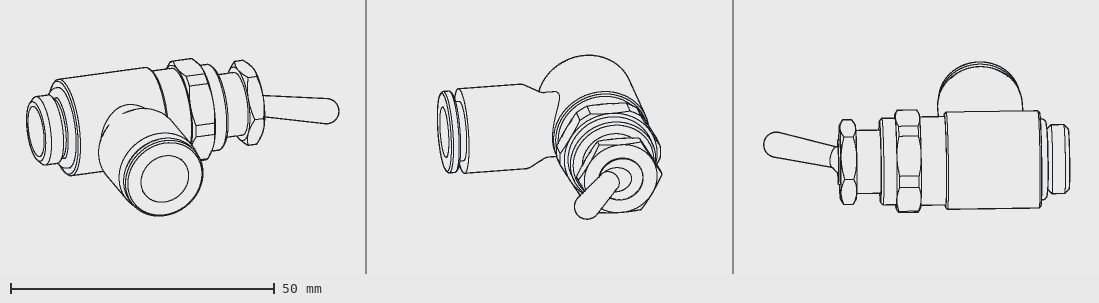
import cadquery as cq
import math

OVERALL_LENGTH = 57.6

THREAD_RADIUS = 6.55
THREAD_CHAMFER = 0.85
UNDERCUT_RADIUS = 5.75
UNDERCUT_START = 4.1

SEAL_SECTION_RADIUS = 1.0
SEAL_PROTRUSION = 1.2

BARREL_RADIUS = 18.5 / 2
BARREL_CHAMFER = 0.35
BARREL_BOTTOM = 5.4
BARREL_TOP = 23.5

SHOULDER_RADIUS = 8.4
COLLAR_RADIUS = 8.25
COLLAR_CHAMFER = 0.45
COLLAR_TOP = 35.8
BUSH_RADIUS = 12.05 / 2
LIP_RADIUS = 4.25
LIP_TOP = 43.75

HEX_SIDES = 6
HEX_CHAMFER_ANGLE = 30.0
BODY_HEX_FLATS = 17.9
BODY_HEX_CORNER_RADIUS = 9.75
BODY_HEX_BOTTOM = 28.3
BODY_HEX_TOP = 32.9
NUT_FLATS = 14.05
NUT_BOTTOM = 40.4
NUT_TOP = 43.4

LEVER_TILT = 30.0
LEVER_PIVOT_Y = 40.2
LEVER_TIP_RADIUS = 2.4
LEVER_ROOT_RADIUS = 2.0
LEVER_ROOT_DISTANCE = 4.7
SKIRT_LENGTH = 2.9
SKIRT_HALF_ANGLE = 30.0

BRANCH_Y = 15.95
BRANCH_NECK_RADIUS = 6.15
BRANCH_RADIUS = 8.05
CONE_START = 9.85
CONE_END = 13.4
CONE_FILLET = 1.4
SOCKET_END = 25.7
RELEASE_NECK_RADIUS = 5.65
RELEASE_RADIUS = 7.8
RELEASE_CHAMFER = 0.35
RELEASE_START = 27.2
BRANCH_END = 28.95

BORE_RADIUS = 4.8
DRILL_POINT_ANGLE = 118.0


def revolve_about_y(points):
    """Turn a closed (radius, y) outline around the valve axis."""
    return cq.Workplane("XY").polyline(points).close().revolve(360, (0, 0), (0, 1))


def make_stem():
    thread_top = UNDERCUT_START - (THREAD_RADIUS - UNDERCUT_RADIUS)
    barrel_face_radius = BARREL_RADIUS - BARREL_CHAMFER
    return revolve_about_y([
        (0, 0),
        (THREAD_RADIUS - THREAD_CHAMFER, 0),
        (THREAD_RADIUS, THREAD_CHAMFER),
        (THREAD_RADIUS, thread_top),
        (UNDERCUT_RADIUS, UNDERCUT_START),
        (UNDERCUT_RADIUS, BARREL_BOTTOM),
        (barrel_face_radius, BARREL_BOTTOM),
        (BARREL_RADIUS, BARREL_BOTTOM + BARREL_CHAMFER),
        (BARREL_RADIUS, BARREL_TOP - BARREL_CHAMFER),
        (barrel_face_radius, BARREL_TOP),
        (SHOULDER_RADIUS, BARREL_TOP),
        (SHOULDER_RADIUS, BODY_HEX_BOTTOM),
        (COLLAR_RADIUS, BODY_HEX_BOTTOM),
        (COLLAR_RADIUS, COLLAR_TOP - COLLAR_CHAMFER),
        (COLLAR_RADIUS - COLLAR_CHAMFER, COLLAR_TOP),
        (BUSH_RADIUS, COLLAR_TOP),
        (BUSH_RADIUS, NUT_TOP),
        (LIP_RADIUS, NUT_TOP),
        (LIP_RADIUS, LIP_TOP),
        (0, LIP_TOP),
    ])


def corner_distance(flats):
    """Distance from the centre of a hexagon to its sharp corners."""
    return flats / 2 / math.cos(math.pi / HEX_SIDES)


def make_hexagon(flats, corner_radius, bottom, top):
    """Hexagon with two flats facing +Z and -Z, its corners turned to a radius and chamfered."""
    face_radius = flats / 2
    chamfer_height = (corner_radius - face_radius) * math.tan(math.radians(HEX_CHAMFER_ANGLE))
    prism = (
        cq.Workplane("XZ", origin=(0, bottom, 0))
        .polygon(HEX_SIDES, 2 * corner_distance(flats))
        .extrude(bottom - top)
    )
    turned_blank = revolve_about_y([
        (0, bottom),
        (face_radius, bottom),
        (corner_radius, bottom + chamfer_height),
        (corner_radius, top - chamfer_height),
        (face_radius, top),
        (0, top),
    ])
    return prism.intersect(turned_blank)


def make_lever():
    """Tapered lever with a round tip and a conical skirt, tilted toward +X about its pivot."""
    tip_rise = OVERALL_LENGTH - LEVER_TIP_RADIUS - LEVER_PIVOT_Y
    tip_distance = tip_rise / math.cos(math.radians(LEVER_TILT))
    skirt_base = LEVER_ROOT_DISTANCE - SKIRT_LENGTH
    skirt_radius = LEVER_ROOT_RADIUS + SKIRT_LENGTH * math.tan(math.radians(SKIRT_HALF_ANGLE))
    tip_diagonal = LEVER_TIP_RADIUS / math.sqrt(2)
    return (
        cq.Workplane("XY")
        .moveTo(0, skirt_base)
        .lineTo(skirt_radius, skirt_base)
        .lineTo(LEVER_ROOT_RADIUS, LEVER_ROOT_DISTANCE)
        .lineTo(LEVER_TIP_RADIUS, tip_distance)
        .threePointArc((tip_diagonal, tip_distance + tip_diagonal), (0, tip_distance + LEVER_TIP_RADIUS))
        .close()
        .revolve(360, (0, 0), (0, 1))
        .rotate((0, 0, 0), (0, 0, 1), -LEVER_TILT)
        .translate((0, LEVER_PIVOT_Y, 0))
    )


def make_branch():
    outline = [
        (0, 0),
        (0, BRANCH_NECK_RADIUS),
        (CONE_START, BRANCH_NECK_RADIUS),
        (CONE_END, BRANCH_RADIUS),
        (SOCKET_END, BRANCH_RADIUS),
        (SOCKET_END, RELEASE_NECK_RADIUS),
        (RELEASE_START, RELEASE_NECK_RADIUS),
        (RELEASE_START, RELEASE_RADIUS - RELEASE_CHAMFER),
        (RELEASE_START + RELEASE_CHAMFER, RELEASE_RADIUS),
        (BRANCH_END - RELEASE_CHAMFER, RELEASE_RADIUS),
        (BRANCH_END, RELEASE_RADIUS - RELEASE_CHAMFER),
        (BRANCH_END, 0),
    ]
    branch = cq.Workplane("XY").polyline(outline).close().revolve(360, (0, 0), (1, 0))
    for corner_x in (CONE_START, CONE_END):
        corner = cq.selectors.NearestToPointSelector((corner_x, 0, 0))
        branch = branch.edges("%CIRCLE").edges(corner).fillet(CONE_FILLET)
    return branch.translate((0, BRANCH_Y, 0))


def make_drilling(depth):
    """Drill shape entering at the origin along +Y, with full radius to the given depth and a pointed end."""
    point_length = BORE_RADIUS / math.tan(math.radians(DRILL_POINT_ANGLE / 2))
    return revolve_about_y([
        (0, 0),
        (BORE_RADIUS, 0),
        (BORE_RADIUS, depth),
        (0, depth + point_length),
    ])


def make_seal_recess():
    """Square-cornered recess in the lower barrel face that holds the upper part of the seal ring."""
    recess_floor = BARREL_BOTTOM - SEAL_PROTRUSION + 2 * SEAL_SECTION_RADIUS
    recess_radius = UNDERCUT_RADIUS + 2 * SEAL_SECTION_RADIUS
    return revolve_about_y([
        (UNDERCUT_RADIUS, BARREL_BOTTOM),
        (recess_radius, BARREL_BOTTOM),
        (recess_radius, recess_floor),
        (UNDERCUT_RADIUS, recess_floor),
    ])


def make_valve():
    port_drilling = make_drilling(BRANCH_Y)
    branch_drilling = (
        make_drilling(BRANCH_END)
        .rotate((0, 0, 0), (0, 0, 1), 90)
        .translate((BRANCH_END, BRANCH_Y, 0))
    )
    body_hexagon = make_hexagon(BODY_HEX_FLATS, BODY_HEX_CORNER_RADIUS, BODY_HEX_BOTTOM, BODY_HEX_TOP)
    nut_hexagon = make_hexagon(NUT_FLATS, corner_distance(NUT_FLATS), NUT_BOTTOM, NUT_TOP)
    return (
        make_stem()
        .union(body_hexagon)
        .union(nut_hexagon)
        .union(make_lever())
        .union(make_branch())
        .cut(port_drilling)
        .cut(branch_drilling)
        .cut(make_seal_recess())
        .solids()
    )


def make_seal_ring():
    """Round-section ring around the undercut, touching the recess floor and walls."""
    ring_radius = UNDERCUT_RADIUS + SEAL_SECTION_RADIUS
    ring_y = BARREL_BOTTOM - SEAL_PROTRUSION + SEAL_SECTION_RADIUS
    return (
        cq.Workplane("XY")
        .center(ring_radius, ring_y)
        .circle(SEAL_SECTION_RADIUS)
        .revolve(360, (-ring_radius, 0), (-ring_radius, 1))
    )


valve = make_valve()
seal_ring = make_seal_ring()

result = cq.Compound.makeCompound([valve.val(), seal_ring.val()])